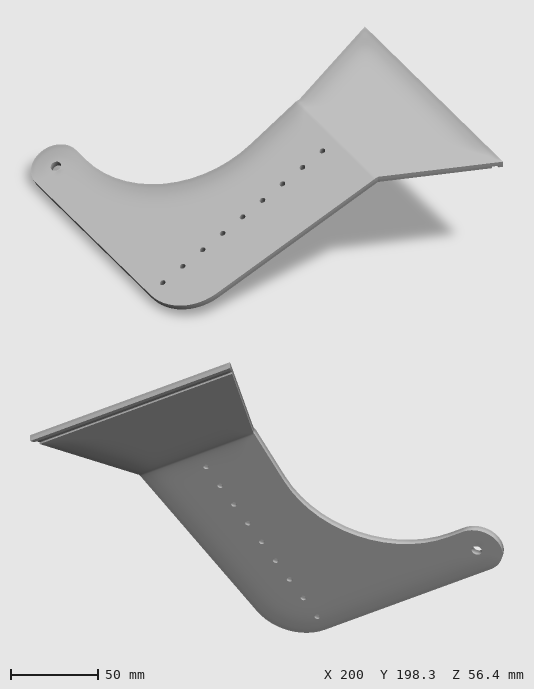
import cadquery as cq
import math

thickness = 4.0
bend_angle = 22.0
inner_bend_radius = 3.0
outer_bend_radius = inner_bend_radius + thickness

flange_length = 66.4
flange_width = 140.0
bend_width = 80.0
center_x = 130.0

plate_length = 139.4
side_taper = 11.2
corner_radius = 30.0
throat_radius = 68.0
lug_radius = 15.0
lug_hole_diameter = 6.2

row_hole_diameter = 3.4
row_hole_count = 9
row_hole_pitch = 15.0
row_end_margin = 10.0

groove_edge_distance = 2.4
groove_width = 3.4
groove_depth = 1.2

bend_left = center_x - bend_width / 2
bend_right = center_x + bend_width / 2
bend_radians = math.radians(bend_angle)

plate_start_y = -outer_bend_radius * math.sin(bend_radians)
plate_start_z = -outer_bend_radius * (1 - math.cos(bend_radians))
plate_plane = cq.Plane(
    origin=(0, plate_start_y, plate_start_z),
    xDir=(1, 0, 0),
    normal=(0, -math.sin(bend_radians), math.cos(bend_radians)),
)


def make_flange():
    outline = [
        (bend_left, 0),
        (bend_right, 0),
        (center_x + flange_width / 2, flange_length),
        (center_x - flange_width / 2, flange_length),
    ]
    flange = cq.Workplane("XY").polyline(outline).close().extrude(-thickness)
    groove = cq.Workplane("XY").box(
        flange_width, groove_width, groove_depth, centered=(True, False, False)
    )
    groove_y = flange_length - groove_edge_distance - groove_width
    return flange.cut(groove.translate((center_x, groove_y, -thickness)))


def make_bend():
    section = (
        cq.Workplane("XZ")
        .moveTo(bend_left, 0)
        .lineTo(bend_right, 0)
        .lineTo(bend_right, -thickness)
        .lineTo(bend_left, -thickness)
        .close()
    )
    axis_start = (0, -outer_bend_radius)
    axis_end = (1, -outer_bend_radius)
    return section.revolve(bend_angle, axis_start, axis_end)


def make_plate():
    taper_slope = side_taper / plate_length
    taper_angle = math.atan(taper_slope)
    lug_top = -plate_length + 2 * lug_radius
    lug_center_y = -plate_length + lug_radius

    throat_center_y = lug_top + throat_radius
    throat_end_y = throat_center_y + throat_radius * math.sin(taper_angle)
    throat_end_x = bend_left - taper_slope * throat_end_y
    throat_center_x = throat_end_x - throat_radius * math.cos(taper_angle)

    corner_center_y = -plate_length + corner_radius
    corner_end_y = corner_center_y - corner_radius * math.sin(taper_angle)
    corner_end_x = bend_right + taper_slope * corner_end_y
    corner_center_x = corner_end_x - corner_radius * math.cos(taper_angle)

    plate = (
        cq.Workplane(plate_plane)
        .moveTo(bend_left, 0)
        .lineTo(throat_end_x, throat_end_y)
        .tangentArcPoint((throat_center_x, lug_top), relative=False)
        .lineTo(lug_radius, lug_top)
        .threePointArc((0, lug_center_y), (lug_radius, -plate_length))
        .lineTo(corner_center_x, -plate_length)
        .tangentArcPoint((corner_end_x, corner_end_y), relative=False)
        .lineTo(bend_right, 0)
        .close()
        .extrude(-thickness)
    )
    lug_hole = (
        cq.Workplane(plate_plane)
        .center(lug_radius, lug_center_y)
        .circle(lug_hole_diameter / 2)
        .extrude(-thickness)
    )
    row_positions = [
        (center_x, -plate_length + row_end_margin + index * row_hole_pitch)
        for index in range(row_hole_count)
    ]
    row_holes = (
        cq.Workplane(plate_plane)
        .pushPoints(row_positions)
        .circle(row_hole_diameter / 2)
        .extrude(-thickness)
    )
    return plate.cut(lug_hole).cut(row_holes)


result = make_flange().union(make_bend()).union(make_plate())